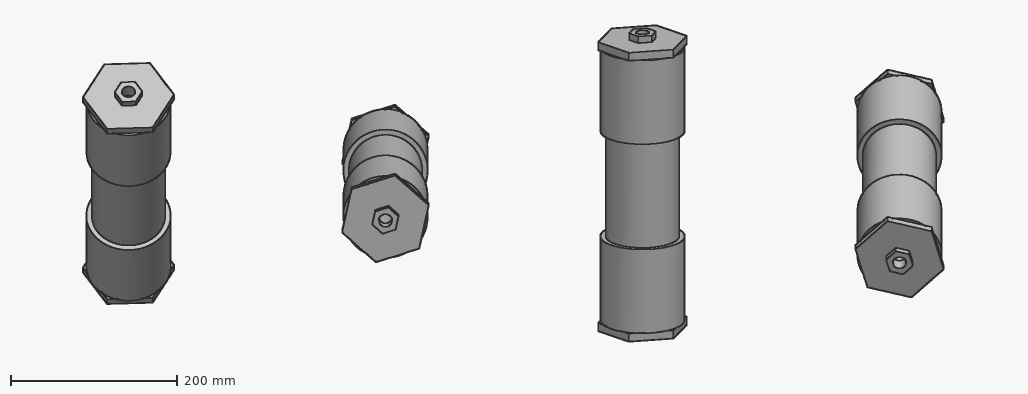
import cadquery as cq
import math

total_length = 384.0

tube_diameter = 88.7
tube_bore = 76.0
sleeve_diameter = 101.8
sleeve_length = 106.5

cap_corners = 110.0
cap_thickness = 10.5
cap_hole = 25.5

head_flats = 28.8
head_corners = head_flats / math.cos(math.pi / 6)
head_height = 8.5
bushing_bore = 15.7

head_base = total_length / 2 - head_height
cap_base = head_base - cap_thickness
sleeve_base = cap_base - sleeve_length


def make_tube():
    """Open tube that reaches from cap to cap."""
    return (
        cq.Workplane("XY", origin=(0, 0, -cap_base))
        .circle(tube_diameter / 2)
        .circle(tube_bore / 2)
        .extrude(2 * cap_base)
    )


def make_sleeve():
    """Upper sleeve, fitted closely around the end of the tube."""
    return (
        cq.Workplane("XY", origin=(0, 0, sleeve_base))
        .circle(sleeve_diameter / 2)
        .circle(tube_diameter / 2)
        .extrude(sleeve_length)
    )


def make_cap():
    """Upper hexagonal cap with a hole for the bushing shank."""
    return (
        cq.Workplane("XY", origin=(0, 0, cap_base))
        .polygon(6, cap_corners)
        .circle(cap_hole / 2)
        .extrude(cap_thickness)
    )


def make_bushing():
    """Upper bushing: shank through the cap, hexagonal head, bore right through."""
    shank = cq.Workplane("XY", origin=(0, 0, cap_base)).circle(cap_hole / 2).extrude(cap_thickness)
    head = cq.Workplane("XY", origin=(0, 0, head_base)).polygon(6, head_corners).extrude(head_height)
    bore = (
        cq.Workplane("XY", origin=(0, 0, cap_base))
        .circle(bushing_bore / 2)
        .extrude(cap_thickness + head_height)
    )
    return shank.union(head).cut(bore)


tube = make_tube()
end_bodies = []
for make_body in (make_sleeve, make_cap, make_bushing):
    upper_body = make_body()
    lower_body = upper_body.mirror("XY")
    end_bodies += [upper_body.val(), lower_body.val()]

result = cq.Compound.makeCompound([tube.val(), *end_bodies])